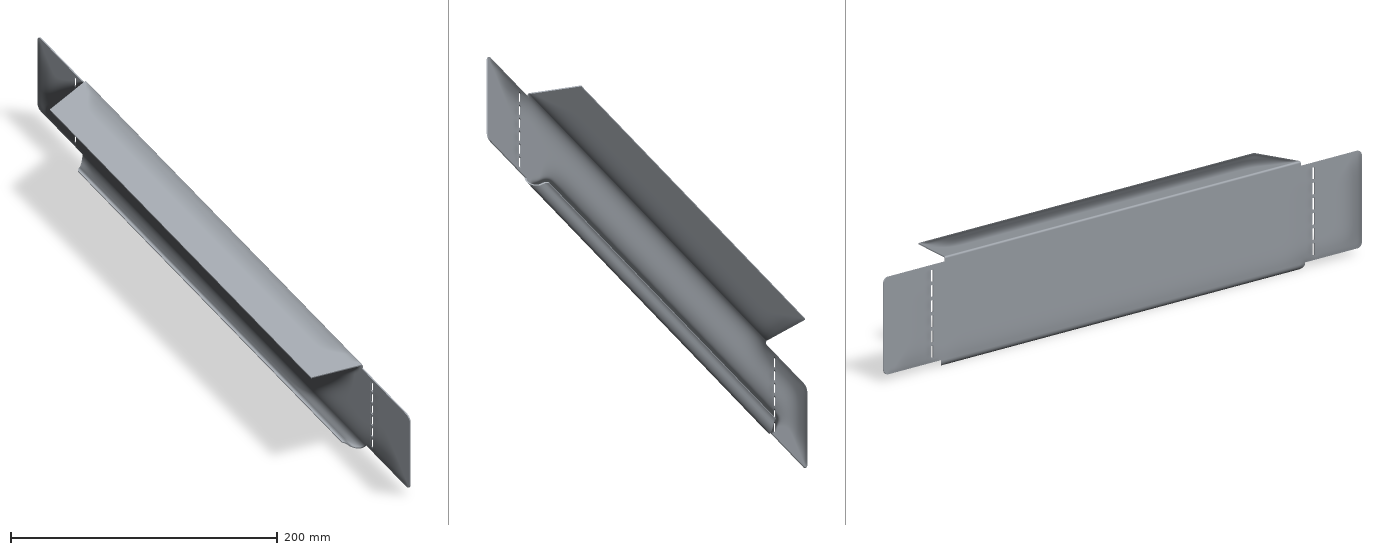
import cadquery as cq
import math

length = 495.0
height = 86.0
depth = 40.0
sheet = 1.0
plate_bottom = 6.0
plate_top = 82.0
plate_corner_radius = 4.5

flange_root_half_width = 184.0
flange_tip_half_width = 173.5
flange_bend_radius = 1.5

hook_root_half_width = 188.5
hook_tip_half_width = 175.5
hook_depth = 13.5
hook_bend_radius = 5.5
hook_rise_angle = math.radians(45)
lip_bend_radius = 3.5

slot_row_x = 197.5
slot_width = 3.0
slot_length = 9.5
slot_pitch = 12.0
slot_count = 6

plate_height = plate_top - plate_bottom
plate_middle = (plate_top + plate_bottom) / 2


def polar(center, radius, angle):
    """Point in the YZ plane at an angle measured from +Y towards +Z."""
    return (center[0] + radius * math.cos(angle), center[1] + radius * math.sin(angle))


def extrude_section(outline):
    """Extrude a closed YZ outline along X, over the full length."""
    return outline.close().extrude(length / 2, both=True)


def trim_ends(body, root_half_width, tip_half_width, reach):
    """Keep the part of a body inside a symmetric trapezoid that narrows towards -Y."""
    trapezoid = (
        cq.Workplane("XY")
        .moveTo(-root_half_width, 0)
        .lineTo(root_half_width, 0)
        .lineTo(tip_half_width, -reach)
        .lineTo(-tip_half_width, -reach)
        .close()
        .extrude(height)
    )
    return body.intersect(trapezoid)


def make_plate():
    return (
        cq.Workplane("XY")
        .box(length, sheet, plate_height)
        .edges("|Y")
        .fillet(plate_corner_radius)
        .translate((0, -sheet / 2, plate_middle))
    )


def make_flange():
    center = (-flange_bend_radius, height - flange_bend_radius)
    inner_radius = flange_bend_radius - sheet
    middle = math.radians(45)
    outline = (
        cq.Workplane("YZ")
        .moveTo(0, plate_middle)
        .lineTo(0, center[1])
        .threePointArc(polar(center, flange_bend_radius, middle), (center[0], height))
        .lineTo(-depth, height)
        .lineTo(-depth, height - sheet)
        .lineTo(center[0], height - sheet)
        .threePointArc(polar(center, inner_radius, middle), (-sheet, center[1]))
        .lineTo(-sheet, plate_middle)
    )
    return trim_ends(extrude_section(outline), flange_root_half_width, flange_tip_half_width, depth)


def make_hook():
    bend_center = (-hook_bend_radius, hook_bend_radius)
    bend_end = -math.pi / 2 - hook_rise_angle
    bend_middle = bend_end / 2
    inner_radius = hook_bend_radius - sheet

    rise_start = polar(bend_center, hook_bend_radius, bend_end)
    rise_run = hook_depth + rise_start[0] - lip_bend_radius * math.sin(hook_rise_angle)
    rise_end = (rise_start[0] - rise_run, rise_start[1] + rise_run * math.tan(hook_rise_angle))

    lip_start = math.pi / 2 - hook_rise_angle
    lip_middle = math.pi / 2 - hook_rise_angle / 2
    lip_center = polar(rise_end, -lip_bend_radius, lip_start)
    lip_outer_radius = lip_bend_radius + sheet

    outline = (
        cq.Workplane("YZ")
        .moveTo(0, plate_middle)
        .lineTo(0, hook_bend_radius)
        .threePointArc(polar(bend_center, hook_bend_radius, bend_middle), rise_start)
        .lineTo(*rise_end)
        .threePointArc(
            polar(lip_center, lip_bend_radius, lip_middle),
            polar(lip_center, lip_bend_radius, math.pi / 2),
        )
        .lineTo(*polar(lip_center, lip_outer_radius, math.pi / 2))
        .threePointArc(
            polar(lip_center, lip_outer_radius, lip_middle),
            polar(lip_center, lip_outer_radius, lip_start),
        )
        .lineTo(*polar(bend_center, inner_radius, bend_end))
        .threePointArc(polar(bend_center, inner_radius, bend_middle), (-sheet, hook_bend_radius))
        .lineTo(-sheet, plate_middle)
    )
    return trim_ends(extrude_section(outline), hook_root_half_width, hook_tip_half_width, hook_depth)


def make_slots():
    row_spacing = 2 * slot_row_x
    return (
        cq.Workplane("XZ", origin=(0, 0, plate_middle))
        .rarray(row_spacing, slot_pitch, 2, slot_count)
        .rect(slot_width, slot_length)
        .extrude(sheet)
    )


result = make_plate().union(make_flange()).union(make_hook()).cut(make_slots()).clean()